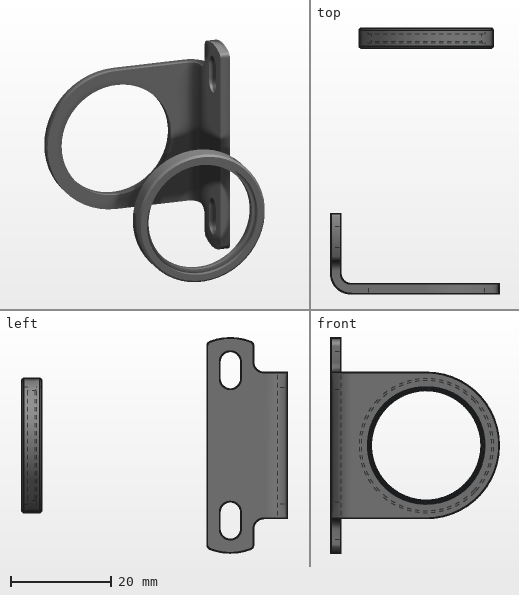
import cadquery as cq
import math

total_width = 33.6
total_depth = 53.0
total_height = 42.95

thickness = 2.0
inner_bend_radius = thickness
outer_bend_radius = inner_bend_radius + thickness
flange_depth = 16.0
eye_diameter = 29.15
eye_radius = eye_diameter / 2
eye_x = total_width - eye_radius
eye_hole_diameter = 23.2

lug_width = 9.3
lug_center_y = flange_depth - lug_width / 2
lug_front_y = flange_depth - lug_width
lug_tip_radius = 11.0
lug_corner_radius = 1.0
notch_radius = 2.0
slot_width = 4.2
slot_length = 7.5
slot_spacing = 30.0

ring_diameter = 26.8
ring_bore_diameter = 21.95
ring_recess_diameter = 23.4
ring_recess_depth = 1.1
ring_width = 4.05
ring_outer_chamfer = 0.4
ring_ledge_chamfer = 0.3


def make_bent_sheet():
    """L-shaped sheet, extruded over the full height of the lugs."""
    return (
        cq.Workplane("XY")
        .workplane(offset=-total_height / 2)
        .moveTo(0, flange_depth)
        .lineTo(0, outer_bend_radius)
        .radiusArc((outer_bend_radius, 0), -outer_bend_radius)
        .lineTo(total_width, 0)
        .lineTo(total_width, thickness)
        .lineTo(outer_bend_radius, thickness)
        .radiusArc((thickness, outer_bend_radius), inner_bend_radius)
        .lineTo(thickness, flange_depth)
        .close()
        .extrude(total_height)
    )


def make_eye_outline():
    """Full-depth block with a round end, limiting the eye plate."""
    return (
        cq.Workplane("XZ")
        .moveTo(0, -eye_radius)
        .lineTo(eye_x, -eye_radius)
        .threePointArc((total_width, 0), (eye_x, eye_radius))
        .lineTo(0, eye_radius)
        .close()
        .extrude(-flange_depth)
    )


def make_lug_outline():
    """Tall strip with arched ends and rounded corners, joined to the eye plate by notch fillets."""
    half_height = total_height / 2
    half_width = lug_width / 2
    tip_drop = lug_tip_radius - math.sqrt(lug_tip_radius**2 - half_width**2)
    side_z = half_height - tip_drop
    strip = (
        cq.Workplane("YZ")
        .moveTo(lug_front_y, -side_z)
        .lineTo(lug_front_y, side_z)
        .threePointArc((lug_center_y, half_height), (flange_depth, side_z))
        .lineTo(flange_depth, -side_z)
        .threePointArc((lug_center_y, -half_height), (lug_front_y, -side_z))
        .close()
        .extrude(thickness)
        .edges("|X")
        .fillet(lug_corner_radius)
    )
    for side in (1, -1):
        notch_fillet = (
            cq.Workplane("YZ")
            .moveTo(lug_front_y, side * eye_radius)
            .lineTo(lug_front_y, side * (eye_radius + notch_radius))
            .radiusArc((lug_front_y - notch_radius, side * eye_radius), side * notch_radius)
            .close()
            .extrude(thickness)
        )
        strip = strip.union(notch_fillet)
    return strip


def make_bracket():
    outline = make_eye_outline().union(make_lug_outline())
    eye_hole = (
        cq.Workplane("XZ")
        .center(eye_x, 0)
        .circle(eye_hole_diameter / 2)
        .extrude(-thickness)
    )
    slots = (
        cq.Workplane("YZ")
        .pushPoints([(lug_center_y, side * slot_spacing / 2) for side in (1, -1)])
        .slot2D(slot_length, slot_width, 90)
        .extrude(thickness)
    )
    return make_bent_sheet().intersect(outline).cut(eye_hole).cut(slots)


def make_ring():
    """Ring revolved about the eye axis, with equal recesses in both faces and a chamfered front ledge."""
    front_y = total_depth - ring_width
    front_ledge_y = front_y + ring_recess_depth
    back_ledge_y = total_depth - ring_recess_depth
    outer_radius = ring_diameter / 2
    bore_radius = ring_bore_diameter / 2
    recess_radius = ring_recess_diameter / 2
    profile = [
        (recess_radius, front_y),
        (outer_radius - ring_outer_chamfer, front_y),
        (outer_radius, front_y + ring_outer_chamfer),
        (outer_radius, total_depth - ring_outer_chamfer),
        (outer_radius - ring_outer_chamfer, total_depth),
        (recess_radius, total_depth),
        (recess_radius, back_ledge_y),
        (bore_radius, back_ledge_y),
        (bore_radius, front_ledge_y + ring_ledge_chamfer),
        (bore_radius + ring_ledge_chamfer, front_ledge_y),
        (recess_radius, front_ledge_y),
    ]
    return (
        cq.Workplane("XY")
        .polyline(profile)
        .close()
        .revolve(360, (0, 0, 0), (0, 1, 0))
        .translate((eye_x, 0, 0))
    )


bracket = make_bracket()
ring = make_ring()

result = cq.Compound.makeCompound([bracket.solids().val(), ring.val()])